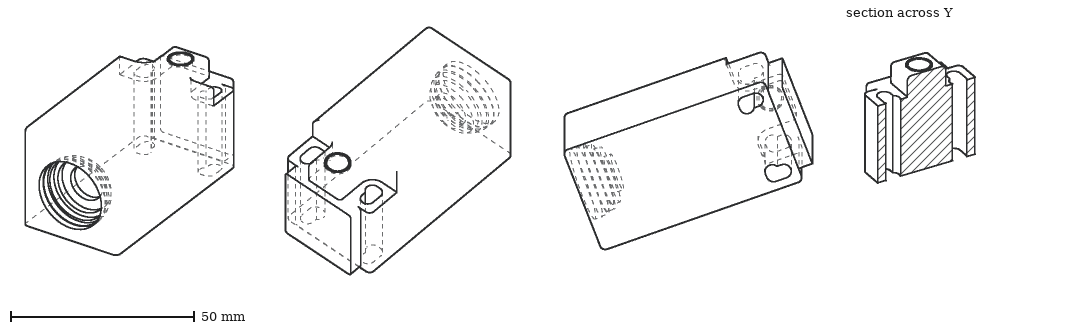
import cadquery as cq

LENGTH = 62.5
WIDTH = 30.8
HEIGHT = 30.8
EDGE_RADIUS = 1.5

TONGUE_LENGTH = 4.0
TONGUE_WIDTH = 24.0
TONGUE_BASE_Z = 0.2
TONGUE_RADIUS = 1.0

SHELF_DROP = 6.5
SHELF_FRONT_OFFSET = 15.0
NECK_WIDTH = 12.0
NECK_END_OFFSET = 2.3
NECK_ROOT_RADIUS = 4.0
NECK_CORNER_RADIUS = 1.0

RING_OUTER_DIAMETER = 7.2
RING_INNER_DIAMETER = 6.2
RING_OFFSET = 8.0
RING_DEPTH = 0.5

SLOT_WIDTH = 4.0
SLOT_CENTRE_X = 11.0
SLOT_REAR_OFFSET = 8.0
SLOT_LENGTH = 3.0
SLOT_SHIFT = 1.0

ENTRY_DIAMETERS = (20.4, 20.0, 18.6, 16.0, 10.3)
ENTRY_STEP_DEPTH = 2.0
ENTRY_CENTRE_Z = 14.2

BODY_LENGTH = LENGTH - TONGUE_LENGTH
SHELF_Z = HEIGHT - SHELF_DROP
SHELF_FRONT_Y = LENGTH - SHELF_FRONT_OFFSET
NECK_END_Y = LENGTH - NECK_END_OFFSET
HALF_WIDTH = WIDTH / 2
HALF_NECK = NECK_WIDTH / 2


def make_lower_body():
    """Block below the shelf level, with rounded vertical corners."""
    block = cq.Workplane("XY").box(WIDTH, BODY_LENGTH, SHELF_Z, centered=(True, False, False))
    return block.edges("|Z").fillet(EDGE_RADIUS)


def make_head():
    """Upper part: full width in front, narrowing through concave arcs to the neck."""
    root_x = HALF_NECK + NECK_ROOT_RADIUS
    root_y = SHELF_FRONT_Y + NECK_ROOT_RADIUS
    head = (
        cq.Workplane("XY", origin=(0, 0, SHELF_Z))
        .moveTo(-HALF_WIDTH, 0)
        .lineTo(HALF_WIDTH, 0)
        .lineTo(HALF_WIDTH, SHELF_FRONT_Y)
        .lineTo(root_x, SHELF_FRONT_Y)
        .radiusArc((HALF_NECK, root_y), NECK_ROOT_RADIUS)
        .lineTo(HALF_NECK, NECK_END_Y)
        .lineTo(-HALF_NECK, NECK_END_Y)
        .lineTo(-HALF_NECK, root_y)
        .radiusArc((-root_x, SHELF_FRONT_Y), NECK_ROOT_RADIUS)
        .lineTo(-HALF_WIDTH, SHELF_FRONT_Y)
        .close()
        .extrude(SHELF_DROP)
    )
    head = head.edges("|Z and <Y").fillet(EDGE_RADIUS)
    head = head.faces(">Z").edges().fillet(EDGE_RADIUS)
    return head.edges("|Z and >Y").fillet(NECK_CORNER_RADIUS)


def make_tongue():
    """Rear tongue, running into the body, with rounded lengthwise edges."""
    overlap = EDGE_RADIUS
    tongue_height = SHELF_Z - TONGUE_BASE_Z
    return (
        cq.Workplane("XY", origin=(0, BODY_LENGTH - overlap, TONGUE_BASE_Z))
        .box(TONGUE_WIDTH, TONGUE_LENGTH + overlap, tongue_height, centered=(True, False, False))
        .edges("|Y")
        .fillet(TONGUE_RADIUS)
    )


def make_slot(side):
    """Cutter for one mounting slot; side is -1 (left) or 1 (right)."""
    rear_y = LENGTH - SLOT_REAR_OFFSET
    front_y = rear_y - SLOT_LENGTH
    plan = cq.Workplane("XY")
    lengthwise = (
        plan.center(side * SLOT_CENTRE_X, (rear_y + front_y) / 2)
        .slot2D(SLOT_LENGTH + SLOT_WIDTH, SLOT_WIDTH, 90)
        .extrude(HEIGHT)
    )
    crosswise = (
        plan.center(side * (SLOT_CENTRE_X - SLOT_SHIFT / 2), front_y)
        .slot2D(SLOT_SHIFT + SLOT_WIDTH, SLOT_WIDTH)
        .extrude(HEIGHT)
    )
    return lengthwise.union(crosswise)


def make_entry():
    """Cutter for the stepped cable entry, each narrower bore one step deeper."""
    front = cq.Workplane("XZ", origin=(0, 0, ENTRY_CENTRE_Z))
    cutter = cq.Workplane("XZ")
    for step, diameter in enumerate(ENTRY_DIAMETERS, start=1):
        cutter = cutter.union(front.circle(diameter / 2).extrude(-step * ENTRY_STEP_DEPTH))
    return cutter


def make_ring():
    """Cutter for the shallow indicator ring."""
    return (
        cq.Workplane("XY", origin=(0, LENGTH - RING_OFFSET, HEIGHT))
        .circle(RING_OUTER_DIAMETER / 2)
        .circle(RING_INNER_DIAMETER / 2)
        .extrude(-RING_DEPTH)
    )


result = make_lower_body().union(make_tongue()).union(make_head())
for slot_side in (-1, 1):
    result = result.cut(make_slot(slot_side))
result = result.cut(make_entry()).cut(make_ring())